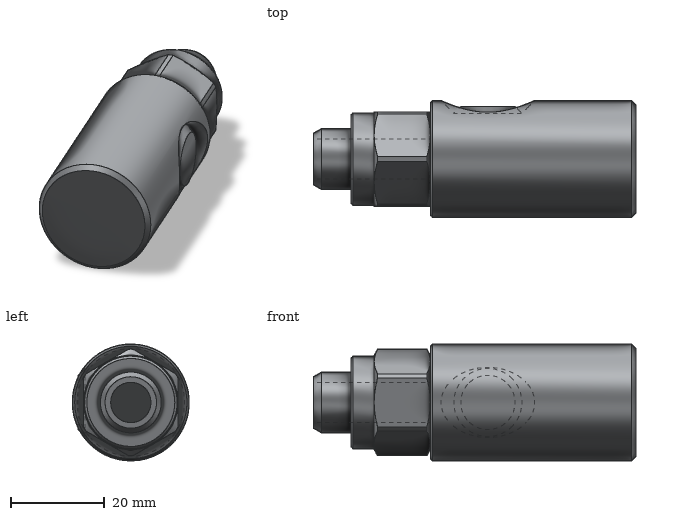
import cadquery as cq
import math

FULL_TURN = 360.0

TIP_CHAMFER_ANGLE = 30.0
TIP_CHAMFER_DEPTH = 1.0
COLLAR_START = 8.0
HEX_START = 13.0
BODY_START = 25.0
BODY_END = 69.0

NOZZLE_DIAMETER = 13.0
COLLAR_DIAMETER = 19.8
BODY_DIAMETER = 25.0
BORE_DIAMETER = 8.6
BORE_DEPTH = BODY_START

HEX_SIDES = 6
HEX_ACROSS_FLATS = 20.2
HEX_CORNER_DIAMETER = 22.75
HEX_CHAMFER_ANGLE = 30.0

SMALL_CHAMFER = 0.5
BODY_END_CHAMFER = 1.0

RECESS_CENTER_X = BODY_START + 12.3
RECESS_RIM_RADIUS = 10.0
BUTTON_TOP_RADIUS = 5.8
BUTTON_TOP = 11.25


def turned(profile):
    """Revolve a closed profile of the XY plane around the X axis."""
    return profile.close().revolve(FULL_TURN, (0, 0, 0), (1, 0, 0))


def make_nozzle():
    """Chamfered nozzle with its larger collar, up to the hexagon."""
    nozzle_radius = NOZZLE_DIAMETER / 2
    collar_radius = COLLAR_DIAMETER / 2
    chamfer_length = TIP_CHAMFER_DEPTH / math.tan(math.radians(TIP_CHAMFER_ANGLE))
    profile = (
        cq.Workplane("XY")
        .moveTo(0, 0)
        .lineTo(0, -(nozzle_radius - TIP_CHAMFER_DEPTH))
        .lineTo(chamfer_length, -nozzle_radius)
        .lineTo(COLLAR_START, -nozzle_radius)
        .lineTo(COLLAR_START, -(collar_radius - SMALL_CHAMFER))
        .lineTo(COLLAR_START + SMALL_CHAMFER, -collar_radius)
        .lineTo(HEX_START, -collar_radius)
        .lineTo(HEX_START, 0)
    )
    return turned(profile)


def make_hexagon():
    """Hexagon with rounded corners and conical chamfers on both ends."""
    inner_radius = HEX_ACROSS_FLATS / 2
    corner_radius = HEX_CORNER_DIAMETER / 2
    chamfer_length = (corner_radius - inner_radius) * math.tan(math.radians(HEX_CHAMFER_ANGLE))
    prism = (
        cq.Workplane("YZ", origin=(HEX_START, 0, 0))
        .polygon(HEX_SIDES, HEX_ACROSS_FLATS, circumscribed=True)
        .extrude(BODY_START - HEX_START)
    )
    envelope = (
        cq.Workplane("XY")
        .moveTo(HEX_START, 0)
        .lineTo(HEX_START, -inner_radius)
        .lineTo(HEX_START + chamfer_length, -corner_radius)
        .lineTo(BODY_START - chamfer_length, -corner_radius)
        .lineTo(BODY_START, -inner_radius)
        .lineTo(BODY_START, 0)
    )
    return prism.intersect(turned(envelope))


def make_body():
    """Cylindrical body with a chamfer on each end."""
    return (
        cq.Workplane("YZ", origin=(BODY_START, 0, 0))
        .circle(BODY_DIAMETER / 2)
        .extrude(BODY_END - BODY_START)
        .faces("<X")
        .chamfer(SMALL_CHAMFER)
        .faces(">X")
        .chamfer(BODY_END_CHAMFER)
    )


def groove_bottom():
    """Radius around the recess axis and Y level where the two 45 degree walls meet."""
    level = (BODY_DIAMETER / 2 - RECESS_RIM_RADIUS + BUTTON_TOP_RADIUS + BUTTON_TOP) / 2
    radius = BUTTON_TOP_RADIUS + BUTTON_TOP - level
    return radius, level


def make_frustum(bottom_radius, bottom_level, top_radius, top_level):
    """Conical frustum around the recess axis, which is parallel to Y."""
    return (
        cq.Workplane("XY")
        .moveTo(0, bottom_level)
        .lineTo(bottom_radius, bottom_level)
        .lineTo(top_radius, top_level)
        .lineTo(0, top_level)
        .close()
        .revolve(FULL_TURN, (0, 0, 0), (0, 1, 0))
        .translate((RECESS_CENTER_X, 0, 0))
    )


def add_button(body):
    """Cut the recess, which widens outwards, and set the button, which narrows outwards."""
    groove_radius, groove_level = groove_bottom()
    recess = make_frustum(groove_radius, groove_level, RECESS_RIM_RADIUS, BODY_DIAMETER / 2)
    button = make_frustum(groove_radius, groove_level, BUTTON_TOP_RADIUS, BUTTON_TOP)
    return body.cut(recess).union(button)


def make_bore():
    """Blind bore from the nozzle tip."""
    return cq.Workplane("YZ").circle(BORE_DIAMETER / 2).extrude(BORE_DEPTH)


body = add_button(make_body())
result = make_nozzle().union(make_hexagon()).union(body).cut(make_bore())